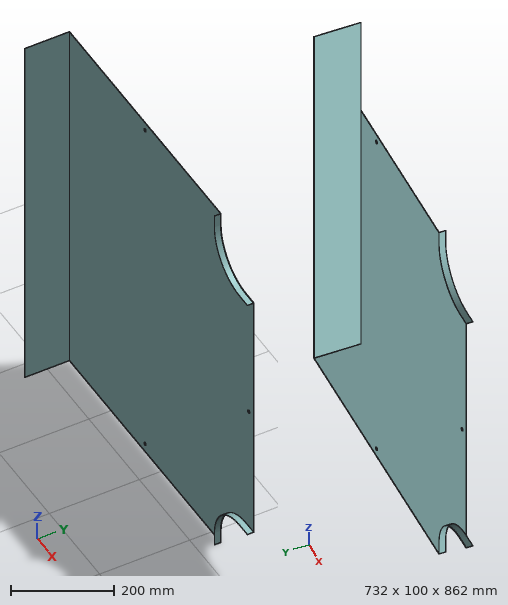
import cadquery as cq

height = 862.0
width = 732.0
depth = 100.0
thickness = 1.0

notch = 130.0
straight_edge = 30.0
notch_radius = notch - straight_edge
notch_flange_depth = 15.0

hole_diameter = 7.0
hole_inset = 20.0

notch_x = width - notch
half_height = height / 2
notch_z = half_height - notch


def plate_outline(inset):
    """Closed XZ outline with its notch edges moved into the plate by inset."""
    x = notch_x - inset
    z = notch_z - inset
    radius = notch_radius + inset
    diagonal = radius * (1 - 0.5 ** 0.5)
    return (
        cq.Workplane("XZ")
        .moveTo(0, -half_height)
        .lineTo(x, -half_height)
        .lineTo(x, -z - radius)
        .threePointArc((x + diagonal, -z - diagonal), (x + radius, -z))
        .lineTo(width, -z)
        .lineTo(width, z)
        .lineTo(x + radius, z)
        .threePointArc((x + diagonal, z + diagonal), (x, z + radius))
        .lineTo(x, half_height)
        .lineTo(0, half_height)
        .close()
    )


def notch_flanges():
    """Thin walls that follow both notch edges, including the plate thickness."""
    walls = plate_outline(0).extrude(notch_flange_depth)
    return walls.cut(plate_outline(thickness).extrude(notch_flange_depth))


def side_flange():
    """Deep full-height flange along the -X edge."""
    flange = cq.Workplane("XY").box(thickness, depth, height, centered=(False, False, True))
    return flange.translate((0, -depth, 0))


def mounting_holes():
    """One hole at the middle of each plain edge beside the notches."""
    edge_z = half_height - hole_inset
    centers = [
        (notch_x / 2, edge_z),
        (notch_x / 2, -edge_z),
        (width - hole_inset, 0),
    ]
    return cq.Workplane("XZ").pushPoints(centers).circle(hole_diameter / 2).extrude(thickness)


plate = plate_outline(0).extrude(thickness)
result = plate.union(side_flange()).union(notch_flanges()).cut(mounting_holes())